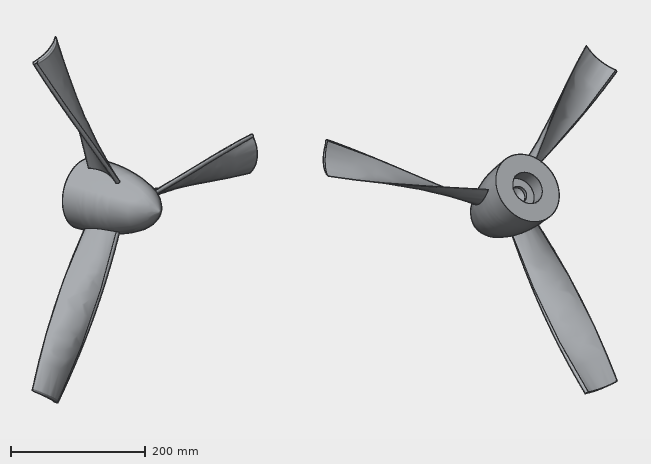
import cadquery as cq
import math

hub_length = 147.5
hub_radius = 54.5
shoulder_x = 86.0
shoulder_radius = 44.5
nose_x = 126.0
nose_radius = 26.5

bore_radius = 25.0
bore_depth = 25.0
pilot_radius = 12.5
pilot_depth = 6.0
cone_depth = 7.5

blade_count = 3
chord = 61.0
root_reach = 40.0
tip_reach = 313.0
root_pitch = 85.0
tip_pitch = 0.0
root_center_x = 54.5
tip_center_x = 52.0
root_upper_camber = 13.0
tip_upper_camber = 15.5
tip_edge_radius = 2.5
lower_camber = 7.5
nose_bulge = 3.5
nose_width = 7.0
tail_thickness = 1.0
section_count = 7


def make_hub():
    """Spinner with a rounded profile and a stepped blind bore."""
    pilot_end = bore_depth + pilot_depth
    spinner = (
        cq.Workplane("XY")
        .lineTo(0, hub_radius)
        .spline(
            [(shoulder_x, shoulder_radius), (nose_x, nose_radius), (hub_length, 0)],
            tangents=[(1, 0), (1, -1.4)],
            includeCurrent=True,
        )
        .close()
        .revolve(360, (0, 0, 0), (1, 0, 0))
    )
    bore = (
        cq.Workplane("XY")
        .lineTo(0, bore_radius)
        .lineTo(bore_depth, bore_radius)
        .lineTo(bore_depth, pilot_radius)
        .lineTo(pilot_end, pilot_radius)
        .lineTo(pilot_end + cone_depth, 0)
        .close()
        .revolve(360, (0, 0, 0), (1, 0, 0))
    )
    return spinner.cut(bore)


def blade_section(reach):
    """Closed airfoil wire at a given distance from the hub axis along +Y."""
    fraction = (reach - root_reach) / (tip_reach - root_reach)
    pitch = math.radians(root_pitch + fraction * (tip_pitch - root_pitch))
    center_x = root_center_x + fraction * (tip_center_x - root_center_x)
    upper_camber = root_upper_camber + fraction * (tip_upper_camber - root_upper_camber)

    def place(along, height):
        x = center_x + along * math.sin(pitch) + height * math.cos(pitch)
        z = along * math.cos(pitch) - height * math.sin(pitch)
        return cq.Vector(x, reach, z)

    half = chord / 2
    upper_front = place(half - nose_bulge, nose_width)
    upper_tail = place(-half, tail_thickness)
    lower_tail = place(-half, 0)
    lower_front = place(half - nose_bulge, 0)
    return cq.Wire.assembleEdges([
        cq.Edge.makeThreePointArc(upper_tail, place(0, upper_camber), upper_front),
        cq.Edge.makeThreePointArc(upper_front, place(half, nose_width / 2), lower_front),
        cq.Edge.makeThreePointArc(lower_front, place(0, lower_camber), lower_tail),
        cq.Edge.makeLine(lower_tail, upper_tail),
    ])


def make_blade():
    """Smooth loft through airfoils spaced evenly from root to tip, with a rounded tip rim."""
    step = (tip_reach - root_reach) / (section_count - 1)
    sections = [blade_section(root_reach + i * step) for i in range(section_count)]
    blade_body = cq.Workplane(obj=cq.Solid.makeLoft(sections))
    tip_convex_edge = blade_body.faces(">Y").edges(">X")
    return tip_convex_edge.fillet(tip_edge_radius)


result = make_hub()
blade = make_blade()
for index in range(blade_count):
    angle = index * 360 / blade_count
    result = result.union(blade.rotate((0, 0, 0), (1, 0, 0), angle))